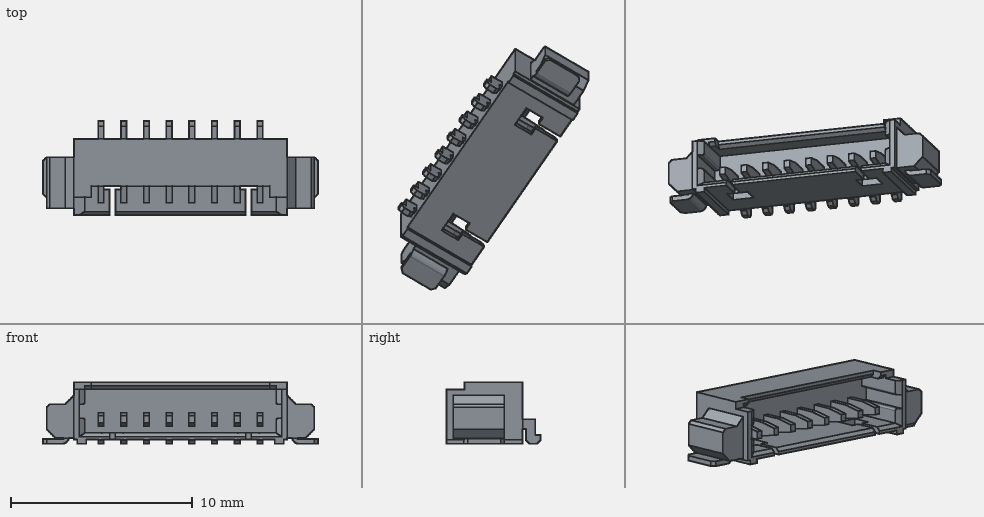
import cadquery as cq


PIN_COUNT = 8
PITCH = 1.25
PIN_WIDTH = 0.32
BLADE_BOTTOM = 0.97
BLADE_TOP = 1.72
TIP_Y = 0.7
TIP_BOTTOM = 1.15
TIP_TOP = 1.55
TAPER_END_Y = 1.7
TAIL_TOP = 1.36
TAIL_BOTTOM = 0.81
TAIL_OUTER_Y = 4.9
TAIL_INNER_Y = 4.38
TOE_Y = 5.2
TOE_TOP = 0.5
TOE_CHAMFER = 0.2

BODY_WIDTH = 11.75
BODY_DEPTH = 4.2
BODY_BOTTOM = 0.23
BODY_TOP = 3.4
SHOULDER_Y = 1.0
SHOULDER_TOP = 3.0
ROOF_NOTCH_WIDTH = 9.82
ROOF_NOTCH_Y = 1.6

CAVITY_WIDTH = 10.54
CAVITY_DEPTH = 2.95
CAVITY_FLOOR = 0.6
LEAD_IN = 0.2
MOUTH_WIDTH = 11.17
GROOVE_WIDTH = MOUTH_WIDTH
GROOVE_BOTTOM = 1.41
GROOVE_TOP = 2.19
RAIL_FILLET = 0.1

SLOT_X = 3 * PITCH
SLOT_WIDTH = PIN_WIDTH
SLOT_DEPTH = 1.42
WINDOW_WIDTH = 1.18
WINDOW_END_Y = 2.5

RUNNER_WIDTH = 0.5
RUNNER_X = 5.44

WING_FRONT_Y = 0.375
WING_BACK_Y = 3.2
WING_OUTER_X = 7.38
WING_BOTTOM = 0.32
WING_TOP = 2.19
WING_TOP_CHAMFER = 0.18
WING_BOTTOM_CHAMFER = 0.49
GUSSET_SIZE = 0.48

TAB_OUTER_X = 7.575
TAB_FRONT_Y = 0.97
TAB_BACK_Y = WING_BACK_Y
TAB_THICKNESS = 0.28
TAB_CHAMFER = 0.2
BEND_BOTTOM_X = 6.49
BEND_TOP_X = 6.45
BEND_END_X = 6.14
BEND_MID_X = 6.27
BEND_MID_Z = 0.1

HALF_BODY = BODY_WIDTH / 2
SIDES = (-1, 1)


def block(x_range, y_range, z_range):
    """Axis-aligned box given by its limits along each axis."""
    size = [high - low for low, high in (x_range, y_range, z_range)]
    corner = (x_range[0], y_range[0], z_range[0])
    return cq.Workplane("XY").box(*size, centered=False).translate(corner)


def centred_block(x, width, y_range, z_range):
    """Box of the given width centred on x."""
    return block((x - width / 2, x + width / 2), y_range, z_range)


def extrude_y(outline, y_front, y_back):
    """Extrude an XZ outline from y_front back to y_back."""
    return outline.extrude(-(y_back - y_front)).translate((0, y_front, 0))


def make_shell():
    shell = centred_block(0, BODY_WIDTH, (0, BODY_DEPTH), (BODY_BOTTOM, BODY_TOP))
    shoulder = centred_block(0, BODY_WIDTH, (0, SHOULDER_Y), (SHOULDER_TOP, BODY_TOP))
    notch = centred_block(0, ROOF_NOTCH_WIDTH, (0, ROOF_NOTCH_Y), (SHOULDER_TOP, BODY_TOP))
    return shell.cut(shoulder).cut(notch)


def make_cavity():
    cavity = centred_block(0, CAVITY_WIDTH, (0, CAVITY_DEPTH), (CAVITY_FLOOR, SHOULDER_TOP))
    groove = centred_block(0, GROOVE_WIDTH, (0, CAVITY_DEPTH), (GROOVE_BOTTOM, GROOVE_TOP))
    corner_reach = (CAVITY_WIDTH + GROOVE_WIDTH) / 4
    rail_corners = cq.selectors.BoxSelector(
        (-corner_reach, 0, GROOVE_BOTTOM - RAIL_FILLET),
        (corner_reach, CAVITY_DEPTH, GROOVE_TOP + RAIL_FILLET),
    )
    return cavity.union(groove).edges("|Y").edges(rail_corners).fillet(RAIL_FILLET)


def make_side_lead_in():
    half_cavity = CAVITY_WIDTH / 2
    half_mouth = MOUTH_WIDTH / 2
    return (
        cq.Workplane("XY", origin=(0, 0, CAVITY_FLOOR - LEAD_IN))
        .polyline([
            (-half_mouth, 0),
            (half_mouth, 0),
            (half_cavity, LEAD_IN),
            (-half_cavity, LEAD_IN),
        ])
        .close()
        .extrude(SHOULDER_TOP - CAVITY_FLOOR + LEAD_IN)
    )


def make_floor_lead_in():
    return (
        cq.Workplane("YZ")
        .polyline([
            (0, CAVITY_FLOOR - LEAD_IN),
            (LEAD_IN, CAVITY_FLOOR),
            (LEAD_IN, SHOULDER_TOP),
            (0, SHOULDER_TOP),
        ])
        .close()
        .extrude(MOUTH_WIDTH / 2, both=True)
    )


def make_roof_lead_in(lip_y, width):
    return (
        cq.Workplane("YZ")
        .polyline([
            (lip_y, SHOULDER_TOP),
            (lip_y, SHOULDER_TOP + LEAD_IN),
            (lip_y + LEAD_IN, SHOULDER_TOP),
        ])
        .close()
        .extrude(width / 2, both=True)
    )


def make_floor_slot(side):
    z_range = (BODY_BOTTOM, CAVITY_FLOOR)
    slot = centred_block(side * SLOT_X, SLOT_WIDTH, (0, SLOT_DEPTH), z_range)
    window = centred_block(side * SLOT_X, WINDOW_WIDTH, (SLOT_DEPTH, WINDOW_END_Y), z_range)
    return slot.union(window)


def make_runner(side):
    return centred_block(side * RUNNER_X, RUNNER_WIDTH, (0, BODY_DEPTH), (0, BODY_BOTTOM))


def make_wing(side):
    gusset_x = HALF_BODY + GUSSET_SIZE
    outline = [
        (HALF_BODY, WING_BOTTOM),
        (WING_OUTER_X - WING_BOTTOM_CHAMFER, WING_BOTTOM),
        (WING_OUTER_X, WING_BOTTOM + WING_BOTTOM_CHAMFER),
        (WING_OUTER_X, WING_TOP - WING_TOP_CHAMFER),
        (WING_OUTER_X - WING_TOP_CHAMFER, WING_TOP),
        (gusset_x, WING_TOP),
        (HALF_BODY, WING_TOP + GUSSET_SIZE),
    ]
    profile = cq.Workplane("XZ").polyline([(side * x, z) for x, z in outline]).close()
    return extrude_y(profile, WING_FRONT_Y, WING_BACK_Y)


def make_solder_tab(side):
    """Flat tab whose inner end bends up into the underside of the wing."""
    profile = (
        cq.Workplane("XZ")
        .moveTo(side * TAB_OUTER_X, 0)
        .lineTo(side * BEND_BOTTOM_X, 0)
        .threePointArc((side * BEND_MID_X, BEND_MID_Z), (side * BEND_END_X, WING_BOTTOM))
        .lineTo(side * BEND_TOP_X, WING_BOTTOM)
        .lineTo(side * BEND_TOP_X, TAB_THICKNESS)
        .lineTo(side * TAB_OUTER_X, TAB_THICKNESS)
        .close()
    )
    tab = extrude_y(profile, TAB_FRONT_Y, TAB_BACK_Y)
    outer_face = "<X" if side < 0 else ">X"
    return tab.faces(outer_face).edges("|Z").chamfer(TAB_CHAMFER)


def make_contact(x):
    """Tapered blade in the cavity, joined in the back wall to a stepped tail."""
    joint_y = (CAVITY_DEPTH + BODY_DEPTH) / 2
    outline = [
        (TIP_Y, TIP_BOTTOM),
        (TIP_Y, TIP_TOP),
        (TAPER_END_Y, BLADE_TOP),
        (joint_y, BLADE_TOP),
        (joint_y, TAIL_TOP),
        (TAIL_OUTER_Y, TAIL_TOP),
        (TAIL_OUTER_Y, TOE_TOP),
        (TOE_Y, TOE_TOP),
        (TOE_Y, TOE_CHAMFER),
        (TOE_Y - TOE_CHAMFER, 0),
        (TAIL_INNER_Y + TOE_CHAMFER, 0),
        (TAIL_INNER_Y, TOE_CHAMFER),
        (TAIL_INNER_Y, TAIL_BOTTOM),
        (joint_y, TAIL_BOTTOM),
        (joint_y, BLADE_BOTTOM),
        (TAPER_END_Y, BLADE_BOTTOM),
    ]
    profile = cq.Workplane("YZ").polyline(outline).close()
    return profile.extrude(PIN_WIDTH / 2, both=True).translate((x, 0, 0))


result = make_shell().cut(make_cavity())
result = result.cut(make_side_lead_in().intersect(make_floor_lead_in()))
result = result.cut(make_roof_lead_in(SHOULDER_Y, CAVITY_WIDTH))
result = result.cut(make_roof_lead_in(ROOF_NOTCH_Y, ROOF_NOTCH_WIDTH))

for side in SIDES:
    result = result.cut(make_floor_slot(side))
    result = result.union(make_runner(side))
    result = result.union(make_wing(side))
    result = result.union(make_solder_tab(side))

for index in range(PIN_COUNT):
    result = result.union(make_contact((index - (PIN_COUNT - 1) / 2) * PITCH))